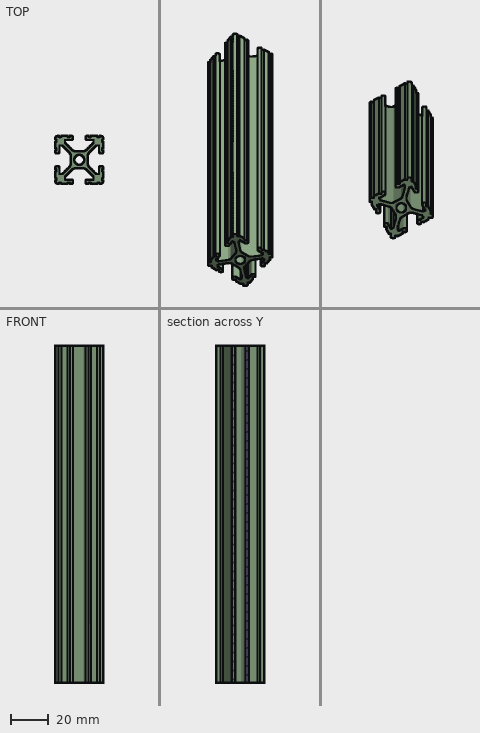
import cadquery as cq
import math

length = 177.8
width = 25.5
corner_radius = 1.6

slot_opening = 6.4
slot_inner_width = 15.0
lip_thickness = 2.3

core_width = 9.0
web_thickness = 2.1
core_fillet = 2.7
bore_diameter = 5.2

groove_positions = (5.5, 10.1)
groove_width = 1.5
groove_depth = 0.7

half_width = width / 2
half_core = core_width / 2
half_opening = slot_opening / 2
half_inner = slot_inner_width / 2
lip_tip_radius = lip_thickness / 2
lip_tip_start = half_opening + lip_tip_radius
lip_middle = half_width - lip_tip_radius
lip_inner = half_width - lip_thickness
web_offset = web_thickness / math.sqrt(2)
core_flat = half_core - web_offset


def round_edges(body, x, y, radius):
    """Fillet the lengthwise edges at (x, y) and at its mirrored and quarter-turned copies."""
    reach = 0.02
    places = {(a * sx, b * sy) for a, b in ((x, y), (y, x)) for sx in (1, -1) for sy in (1, -1)}
    selector = None
    for px, py in sorted(places):
        box = cq.selectors.BoxSelector((px - reach, py - reach, -length), (px + reach, py + reach, length))
        selector = box if selector is None else selector + box
    return body.edges(selector).fillet(radius)


def make_slot():
    """T-slot void in the +Y side, with fully rounded lip tips and walls narrowing to the core."""
    right_wall = [
        (half_inner, lip_inner),
        (half_inner, half_inner + web_offset),
        (core_flat, half_core),
    ]
    left_wall = [(-x, y) for x, y in reversed(right_wall)]
    return (
        cq.Workplane("XY")
        .moveTo(lip_tip_start, half_width)
        .threePointArc((half_opening, lip_middle), (lip_tip_start, lip_inner))
        .polyline(right_wall + left_wall, includeCurrent=True)
        .lineTo(-lip_tip_start, lip_inner)
        .threePointArc((-half_opening, lip_middle), (-lip_tip_start, half_width))
        .close()
        .extrude(length / 2, both=True)
    )


def make_groove(position):
    """Circular-arc groove in the +Y side, centred at x = position."""
    half_groove = groove_width / 2
    return (
        cq.Workplane("XY")
        .moveTo(position - half_groove, half_width)
        .threePointArc((position, half_width - groove_depth), (position + half_groove, half_width))
        .close()
        .extrude(length / 2, both=True)
    )


def make_extrusion():
    """Square bar with a T-slot and four grooves in each side and a central bore."""
    body = cq.Workplane("XY").box(width, width, length)
    slot = make_slot()
    for quarter in range(4):
        body = body.cut(slot.rotate((0, 0, 0), (0, 0, 1), 90 * quarter))

    body = round_edges(body, half_width, half_width, corner_radius)
    body = round_edges(body, core_flat, half_core, core_fillet)

    for position in groove_positions:
        for side in (-1, 1):
            groove = make_groove(side * position)
            for quarter in range(4):
                body = body.cut(groove.rotate((0, 0, 0), (0, 0, 1), 90 * quarter))

    bore = cq.Workplane("XY").circle(bore_diameter / 2).extrude(length / 2, both=True)
    return body.cut(bore)


result = make_extrusion()